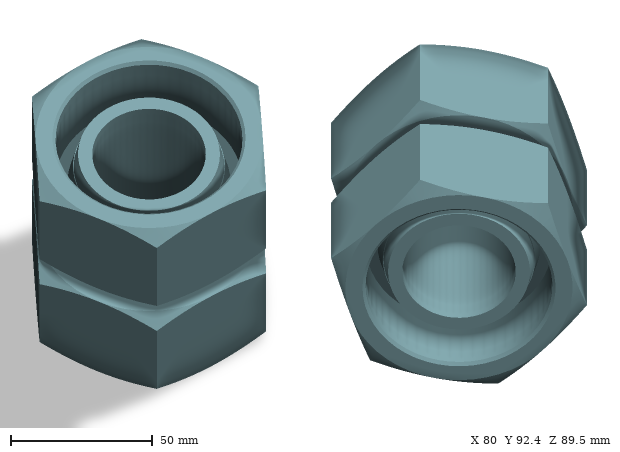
import cadquery as cq
import math

HEX_SIDES = 6
ACROSS_FLATS = 80.0
NUT_HEIGHT = 41.0
NUT_GAP = 7.5
CHAMFER_ANGLE = 30.0
TRIM_MARGIN = 1.0

BORE_DIAMETER = 65.83
BODY_DIAMETER = 68.0
BODY_END_DEPTH = 26.0

PASSAGE_DIAMETER = 40.0
NOSE_TIP_DEPTH = 9.75
NOSE_TIP_DIAMETER = 50.0
STEP_INNER_DIAMETER = 53.1
STEP_OUTER_DIAMETER = 53.6
NOSE_HALF_ANGLE = 12.0

TOTAL_HEIGHT = 2 * NUT_HEIGHT + NUT_GAP
HALF_HEIGHT = TOTAL_HEIGHT / 2
ACROSS_CORNERS = ACROSS_FLATS / math.cos(math.pi / HEX_SIDES)


def make_nut():
    """Solid upper nut: a hexagon, corners on Y, chamfered at both ends."""
    base = HALF_HEIGHT - NUT_HEIGHT
    hexagon = (
        cq.Workplane("XY", origin=(0, 0, base))
        .polygon(HEX_SIDES, ACROSS_CORNERS)
        .extrude(NUT_HEIGHT)
        .rotate((0, 0, 0), (0, 0, 1), 180 / HEX_SIDES)
    )
    face_radius = ACROSS_FLATS / 2
    outer_radius = ACROSS_CORNERS / 2 + TRIM_MARGIN
    drop = (outer_radius - face_radius) * math.tan(math.radians(CHAMFER_ANGLE))
    trim = (
        cq.Workplane("XZ")
        .moveTo(0, base)
        .lineTo(face_radius, base)
        .lineTo(outer_radius, base + drop)
        .lineTo(outer_radius, HALF_HEIGHT - drop)
        .lineTo(face_radius, HALF_HEIGHT)
        .lineTo(0, HALF_HEIGHT)
        .close()
        .revolve(360, (0, 0, 0), (0, 1, 0))
    )
    return hexagon.intersect(trim)


def make_end_cavity():
    """Upper ring-shaped cavity between the nut bore and the tapered nose."""
    bore_radius = BORE_DIAMETER / 2
    rim_radius = BODY_DIAMETER / 2
    tip_radius = NOSE_TIP_DIAMETER / 2
    step_inner_radius = STEP_INNER_DIAMETER / 2
    step_outer_radius = STEP_OUTER_DIAMETER / 2
    taper = math.tan(math.radians(NOSE_HALF_ANGLE))

    floor_z = HALF_HEIGHT - BODY_END_DEPTH
    tip_z = HALF_HEIGHT - NOSE_TIP_DEPTH
    step_z = tip_z - (step_inner_radius - tip_radius) / taper
    root_radius = step_outer_radius + (step_z - floor_z) * taper
    countersink_z = HALF_HEIGHT - (rim_radius - bore_radius)

    return (
        cq.Workplane("XZ")
        .moveTo(0, HALF_HEIGHT)
        .lineTo(rim_radius, HALF_HEIGHT)
        .lineTo(bore_radius, countersink_z)
        .lineTo(bore_radius, floor_z)
        .lineTo(root_radius, floor_z)
        .lineTo(step_outer_radius, step_z)
        .lineTo(step_inner_radius, step_z)
        .lineTo(tip_radius, tip_z)
        .lineTo(0, tip_z)
        .close()
        .revolve(360, (0, 0, 0), (0, 1, 0))
    )


def make_body_core():
    """Central cylinder joining the nuts; its ends are buried inside them."""
    core_height = TOTAL_HEIGHT - 2 * BODY_END_DEPTH
    return cq.Workplane("XY").circle(BODY_DIAMETER / 2).extrude(core_height / 2, both=True)


def make_passage():
    """Straight passage along the whole axis."""
    return cq.Workplane("XY").circle(PASSAGE_DIAMETER / 2).extrude(HALF_HEIGHT, both=True)


def with_mirror(upper):
    """The upper shape together with its mirror image below the XY plane."""
    return [upper, upper.mirror("XY")]


result = make_body_core()
for nut in with_mirror(make_nut()):
    result = result.union(nut)
for cavity in with_mirror(make_end_cavity()):
    result = result.cut(cavity)
result = result.cut(make_passage())